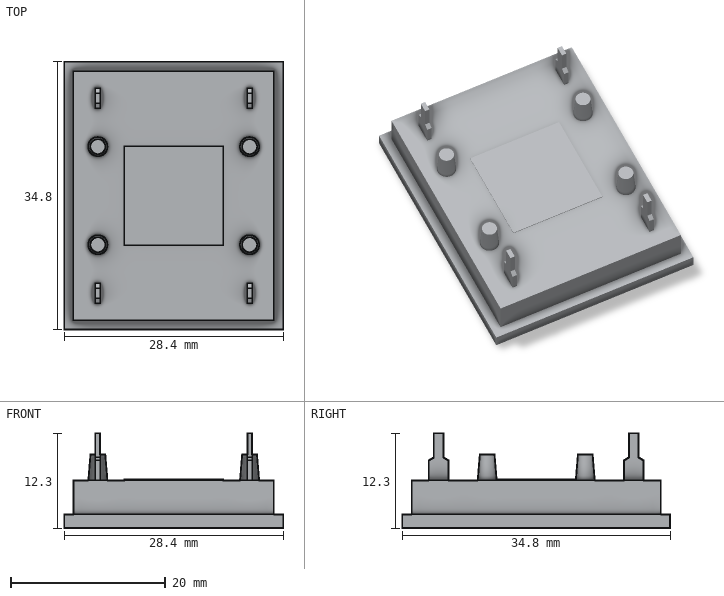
import cadquery as cq

flange_width = 28.45
flange_length = 34.8
flange_height = 1.8

body_inset = 1.22
body_width = flange_width - 2 * body_inset
body_length = flange_length - 2 * body_inset
body_height = 4.42
body_top = flange_height + body_height

pad_side = 12.85
pad_height = 0.1

post_base_diameter = 2.5
post_top_diameter = 1.95
post_height = 3.38
post_spacing_x = 19.7
post_spacing_y = 12.75

total_height = 12.35
pin_height = total_height - body_top
pin_thickness = 0.63
pin_root_width = 2.58
pin_tip_width = 1.3
pin_shoulder_bottom = 2.58
pin_shoulder_top = 2.95
pin_spacing_x = 19.75
pin_spacing_y = 25.35


def mirrored_places(spacing_x, spacing_y):
    """Four points on the body top, symmetric about both centre lines."""
    return [
        (side_x * spacing_x / 2, side_y * spacing_y / 2, body_top)
        for side_x in (-1, 1)
        for side_y in (-1, 1)
    ]


def block(width, length, height, bottom):
    """Centred rectangular block standing at the given level."""
    return (
        cq.Workplane("XY")
        .workplane(offset=bottom)
        .rect(width, length)
        .extrude(height)
    )


def post():
    """Cone frustum standing on the origin."""
    return cq.Workplane(
        cq.Solid.makeCone(post_base_diameter / 2, post_top_diameter / 2, post_height)
    )


def pin():
    """Flat pin with a wide root and sloped shoulders up to a narrow tip."""
    root = pin_root_width / 2
    tip = pin_tip_width / 2
    outline = [
        (-root, 0),
        (root, 0),
        (root, pin_shoulder_bottom),
        (tip, pin_shoulder_top),
        (tip, pin_height),
        (-tip, pin_height),
        (-tip, pin_shoulder_top),
        (-root, pin_shoulder_bottom),
    ]
    return (
        cq.Workplane("YZ")
        .polyline(outline)
        .close()
        .extrude(pin_thickness / 2, both=True)
    )


result = block(flange_width, flange_length, flange_height, 0)
result = result.union(block(body_width, body_length, body_height, flange_height))
result = result.union(block(pad_side, pad_side, pad_height, body_top))

for place in mirrored_places(post_spacing_x, post_spacing_y):
    result = result.union(post().translate(place))

for place in mirrored_places(pin_spacing_x, pin_spacing_y):
    result = result.union(pin().translate(place))